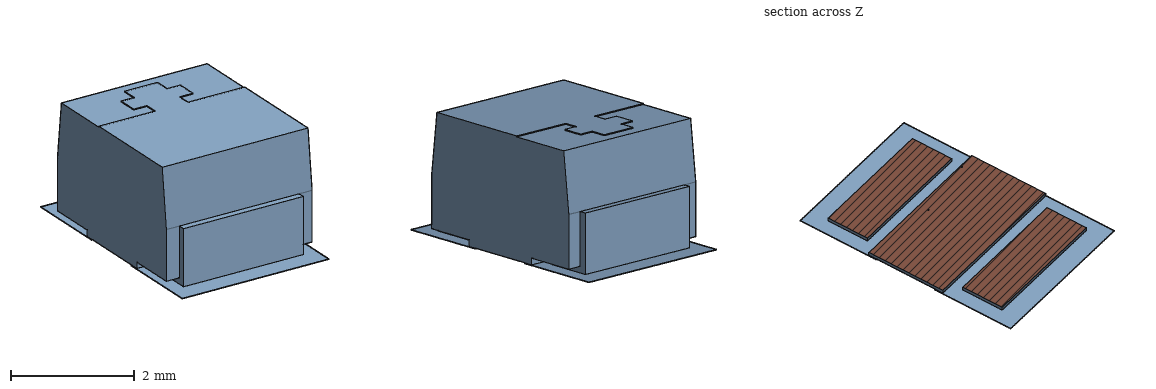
import cadquery as cq

length = 4.22
width = 2.82
height = 2.1

plate_thickness = 0.01
plate_inner_x = 0.585

body_width = 2.8
body_half_length = 1.625
top_half_length = 1.502
shoulder_z = 1.042
pedestal_half_length = 0.743

terminal_thickness = 0.122
terminal_width = 2.3
terminal_foot_end_x = 0.955
body_bottom_z = terminal_thickness
terminal_outer_x = body_half_length + terminal_thickness

cap_height = 0.015
cap_edge_x = -0.39
tab_end_x = -1.3
tab_width = 0.635
arm_start_x = -1.013
arm_end_x = -0.637
arm_span = 1.14
body_top_z = height - cap_height


def block(x_min, x_max, y_size, z_min, z_max):
    """Box centred on Y between the given X and Z limits."""
    return cq.Workplane("XY").box(
        x_max - x_min, y_size, z_max - z_min, centered=(False, True, False)
    ).translate((x_min, 0, z_min))


def make_body():
    """Tapered body with a central pedestal, extruded along Y."""
    right_side = [
        (pedestal_half_length, plate_thickness),
        (pedestal_half_length, body_bottom_z),
        (body_half_length, body_bottom_z),
        (body_half_length, shoulder_z),
        (top_half_length, height),
    ]
    left_side = [(-x, z) for x, z in reversed(right_side)]
    return (
        cq.Workplane("XZ")
        .polyline(right_side + left_side)
        .close()
        .extrude(body_width / 2, both=True)
    )


def make_top_recess():
    """Shallow recess at the -X end that leaves the cap and its tab raised."""
    recess = block(-length / 2, cap_edge_x, width, body_top_z, height)
    tab = block(tab_end_x, cap_edge_x, tab_width, body_top_z, height)
    arms = block(arm_start_x, arm_end_x, arm_span, body_top_z, height)
    return recess.cut(tab).cut(arms)


def make_end_metal():
    """Base plate and L-shaped terminal of the +X end."""
    plate = block(plate_inner_x, length / 2, width, 0, plate_thickness)
    foot = block(terminal_foot_end_x, terminal_outer_x, terminal_width, 0, body_bottom_z)
    upright = block(body_half_length, terminal_outer_x, terminal_width, 0, shoulder_z)
    return plate.union(foot).union(upright)


end_metal = make_end_metal()
result = (
    make_body()
    .cut(make_top_recess())
    .union(end_metal)
    .union(end_metal.mirror("YZ"))
)